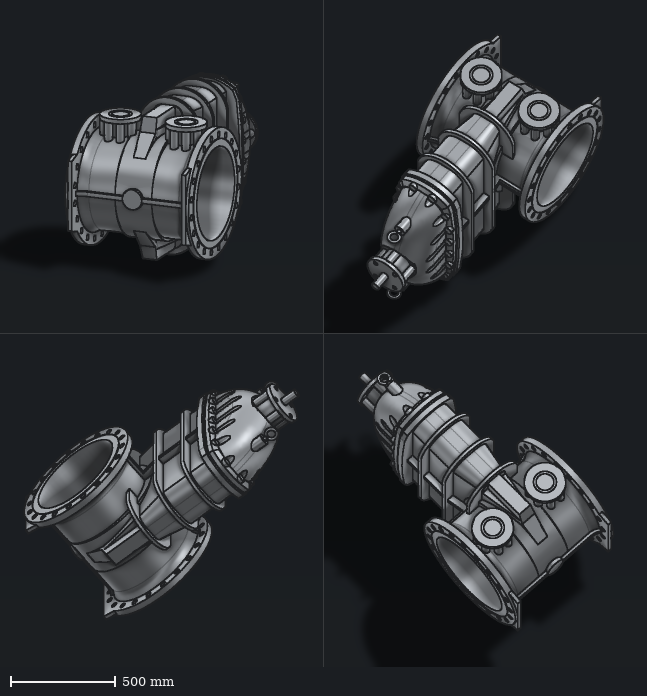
import cadquery as cq
import math


pipe_half_length = 325.3
bore_radius = 228.0
pipe_radius = 241.0
flare_start_x = 234.0
flare_radius = 258.0
flange_radius = 319.6
flange_thickness = 35.0
raised_face_radius = 265.8
raised_face_height = 3.5
bolt_hole_count = 20
bolt_hole_diameter = 28.0
bolt_circle_radius = 286.0

foot_thickness = 21.0
foot_bottom_y = -320.0
foot_bottom_half_z = 175.0
foot_top_y = -265.0
foot_top_half_z = 191.0

rib_half_thickness = 11.0
rib_height = 17.0
body_rib_half_x = 143.0
body_rib_foot_half_x = 125.0

belt_half_x = 95.7
belt_radius = 262.0
belt_pad_radius = 50.3

body_half_x = 108.0
body_side_half_z = 312.0
body_half_z = 356.0
body_flat_half_x = 28.0
body_end_y = 628.0
taper_start_y = 347.0
taper_mid_y = 175.0
taper_mid_half_x = 75.0
taper_end_y = -57.0
taper_end_half_x = 39.0
shoulder_half_z = 299.0

ring_half_z = 392.0
ring_corner_z = 260.0
ring_thickness = 18.0
ring_first_y = 187.0
ring_pitch = 168.0
ring_half_widths = (157.0, 160.0, 160.0)

spine_front_y = -43.0
spine_knee_y = -68.0
spine_knee_z = 284.0
spine_toe_y = -167.0
spine_toe_z = 183.0
spine_top_half_x = 37.0
spine_knee_half_x = 41.0
spine_toe_half_x = 31.0

joint_half_x = 179.0
joint_corner_half_x = 162.0
joint_half_z = 371.0
joint_corner_z = 275.0
joint_shoulder_half_x = 142.0
joint_shoulder_z = 322.0
joint_y = 659.0
gasket_thickness = 10.0
bonnet_base_y = 695.0
bonnet_bevel_end_y = 715.0
bonnet_bevel_width = 27.0
bonnet_inset = 9.0
gasket_inset = 11.0

dome_half_x = 140.0
dome_radius = 374.0
dome_center_y = 570.0
dome_edge_radius = 128.0

bolt_groove_diameter = 40.0
bolt_head_diameter = 44.0
bolt_head_height = 21.0
side_bolt_pitch = 102.8
side_bolt_x = 150.0
corner_bolt_x = 130.0
end_bolt_x = 55.0
end_bolt_z = 340.0

stem_diameter = 40.0
stem_end_y = 1097.0
gland_diameter = 210.0
gland_top_y = 1018.0
gland_thickness = 21.0
gland_column_diameter = 40.0
gland_column_circle_radius = 80.0
gland_column_count = 4
gland_hole_diameter = 23.0
neck_radius = 70.0
gland_seat_y = 906.0

eye_z = 245.0
eye_boss_diameter = 55.0
eye_boss_start_y = 794.0
eye_boss_end_y = 899.0
eye_center_y = 943.0
eye_ring_radius = 27.0
eye_wire_radius = 7.0
eye_shank_radius = 11.0

pad_x = 172.0
pad_diameter = 200.0
pad_top_z = 340.0
pad_thickness = 23.0
pad_column_count = 8
pad_column_diameter = 40.0
pad_column_circle_radius = 80.0
pad_neck_radius = 55.0
plug_outer_radius = 55.0
plug_inner_radius = 43.0
plug_groove_depth = 1.0


def y_cylinder(radius, y_start, y_end, x=0.0, z=0.0):
    """Cylinder along Y."""
    base = cq.Vector(x, y_start, z)
    return cq.Workplane(cq.Solid.makeCylinder(radius, y_end - y_start, base, cq.Vector(0, 1, 0)))


def z_cylinder(radius, z_start, z_end, x, y=0.0):
    """Cylinder along Z."""
    return cq.Workplane(cq.Solid.makeCylinder(radius, z_end - z_start, cq.Vector(x, y, z_start)))


def x_cylinder(radius, x_start, x_end, y=0.0, z=0.0):
    """Cylinder along X."""
    base = cq.Vector(x_start, y, z)
    return cq.Workplane(cq.Solid.makeCylinder(radius, x_end - x_start, base, cq.Vector(1, 0, 0)))


def xz_plane(y):
    """Sketch plane at y whose local axes are X and Z; extruding runs toward -Y."""
    return cq.Workplane("XZ", origin=(0, y, 0))


def on_both_ends(shape):
    """A shape together with its mirror image across the YZ plane."""
    return shape.union(shape.mirror("YZ"))


def on_top_and_bottom(shape):
    """A shape together with its mirror image across the XY plane."""
    return shape.union(shape.mirror("XY"))


def arched_plate(half_x, side_half_z, half_z, y_start, y_end):
    """Plate across Y with straight sides and an arc at each end."""
    return (
        xz_plane(y_end)
        .moveTo(half_x, -side_half_z)
        .lineTo(half_x, side_half_z)
        .threePointArc((0, half_z), (-half_x, side_half_z))
        .lineTo(-half_x, -side_half_z)
        .threePointArc((0, -half_z), (half_x, -side_half_z))
        .close()
        .extrude(y_end - y_start)
    )


def joint_plate(inset, y_start, y_end):
    """Plate of the bolted joint: bowed sides, cut corners, arched ends."""
    side, corner = joint_half_x - inset, joint_corner_half_x - inset
    shoulder, top = joint_shoulder_half_x - inset / 2, joint_half_z - inset / 4
    return (
        xz_plane(y_end)
        .moveTo(corner, -joint_corner_z)
        .threePointArc((side, 0), (corner, joint_corner_z))
        .lineTo(shoulder, joint_shoulder_z)
        .threePointArc((0, top), (-shoulder, joint_shoulder_z))
        .lineTo(-corner, joint_corner_z)
        .threePointArc((-side, 0), (-corner, -joint_corner_z))
        .lineTo(-shoulder, -joint_shoulder_z)
        .threePointArc((0, -top), (shoulder, -joint_shoulder_z))
        .close()
        .extrude(y_end - y_start)
    )


flange_outer_x = pipe_half_length - raised_face_height
flange_inner_x = flange_outer_x - flange_thickness


def flared_barrel(radius, end_radius):
    """Barrel along X that flares toward both end flanges."""
    return on_both_ends(
        cq.Workplane("XY")
        .lineTo(0, radius)
        .lineTo(flare_start_x, radius)
        .tangentArcPoint((flange_inner_x, end_radius), relative=False)
        .lineTo(flange_inner_x, 0)
        .close()
        .revolve(360, (0, 0, 0), (1, 0, 0))
    )


def end_flange():
    """Flange at +X with its raised face, foot and bolt holes."""
    flange = x_cylinder(flange_radius, flange_inner_x, flange_outer_x)
    foot = (
        cq.Workplane("YZ", origin=(flange_inner_x, 0, 0))
        .polyline([
            (0, foot_top_half_z),
            (foot_top_y, foot_top_half_z),
            (foot_bottom_y, foot_bottom_half_z),
            (foot_bottom_y, -foot_bottom_half_z),
            (foot_top_y, -foot_top_half_z),
            (0, -foot_top_half_z),
        ])
        .close()
        .extrude(foot_thickness)
    )
    holes = (
        cq.Workplane("YZ", origin=(flange_inner_x, 0, 0))
        .polarArray(bolt_circle_radius, 180 / bolt_hole_count, 360, bolt_hole_count)
        .circle(bolt_hole_diameter / 2)
        .extrude(flange_thickness)
    )
    raised_face = x_cylinder(raised_face_radius, flange_outer_x, pipe_half_length)
    return flange.union(foot).cut(holes).union(raised_face)


def pipe():
    """Barrel, belt, middle ribs and round pad; the bore is cut later."""
    rib_slab = cq.Workplane("XY").box(2 * flange_inner_x, 2 * flange_radius, 2 * rib_half_thickness)
    ribs = flared_barrel(pipe_radius + rib_height, flare_radius + rib_height).intersect(rib_slab)
    belt = x_cylinder(belt_radius, -belt_half_x, belt_half_x, y=belt_radius - pipe_radius)
    round_pad = y_cylinder(belt_pad_radius, -pipe_radius - rib_height, 0)
    return flared_barrel(pipe_radius, flare_radius).union(ribs).union(belt).union(round_pad)


def branch_pad():
    """Flanged pad at +X on top of the pipe, standing on a ring of columns."""
    plate_bottom_z = pad_top_z - pad_thickness
    pad = z_cylinder(pad_diameter / 2, plate_bottom_z, pad_top_z, pad_x)
    pad = pad.union(z_cylinder(pad_neck_radius, bore_radius, plate_bottom_z, pad_x))
    columns = (
        cq.Workplane("XY", origin=(pad_x, 0, 0))
        .polarArray(pad_column_circle_radius, 180 / pad_column_count, 360, pad_column_count)
        .circle(pad_column_diameter / 2)
        .extrude(plate_bottom_z)
    )
    groove_bottom_z = pad_top_z - plug_groove_depth
    groove = z_cylinder(plug_outer_radius, groove_bottom_z, pad_top_z, pad_x).cut(
        z_cylinder(plug_inner_radius, groove_bottom_z, pad_top_z, pad_x)
    )
    return pad.union(columns).cut(groove)


def body_section(half_x, y):
    """Closed section of the body at y: straight sides, rounded corners, flat ends."""
    arc_width = half_x - body_flat_half_x
    arc_height = body_half_z - body_side_half_z
    arc_radius = (arc_width**2 + arc_height**2) / (2 * arc_height)
    half_angle = math.asin(arc_width / arc_radius) / 2
    arc_x = body_flat_half_x + arc_radius * math.sin(half_angle)
    arc_z = body_half_z - arc_radius * (1 - math.cos(half_angle))
    return (
        xz_plane(y)
        .moveTo(half_x, -body_side_half_z)
        .lineTo(half_x, body_side_half_z)
        .threePointArc((arc_x, arc_z), (body_flat_half_x, body_half_z))
        .lineTo(-body_flat_half_x, body_half_z)
        .threePointArc((-arc_x, arc_z), (-half_x, body_side_half_z))
        .lineTo(-half_x, -body_side_half_z)
        .threePointArc((-arc_x, -arc_z), (-body_flat_half_x, -body_half_z))
        .lineTo(body_flat_half_x, -body_half_z)
        .threePointArc((arc_x, -arc_z), (half_x, -body_side_half_z))
        .close()
    )


def body_shell():
    """Straight upper body and the part that narrows toward the first ring."""
    straight = body_section(body_half_x, body_end_y).extrude(body_end_y - taper_start_y)
    wide_end = body_section(body_half_x, taper_start_y).val()
    narrow_end = body_section(taper_mid_half_x, taper_mid_y).val()
    taper = cq.Workplane(cq.Solid.makeLoft([wide_end, narrow_end], True))
    return straight.union(taper)


def body_shoulder():
    """Lower wedge that runs on over the pipe beside the spine bars."""
    return (
        cq.Workplane("XY", origin=(0, 0, -shoulder_half_z))
        .polyline([
            (taper_mid_half_x, taper_mid_y),
            (taper_end_half_x, taper_end_y),
            (-taper_end_half_x, taper_end_y),
            (-taper_mid_half_x, taper_mid_y),
        ])
        .close()
        .extrude(2 * shoulder_half_z)
    )


def body_rib():
    """Middle-plane rib along both sides of the body."""
    return (
        cq.Workplane("XY", origin=(0, 0, -rib_half_thickness))
        .polyline([
            (body_rib_half_x, body_end_y),
            (body_rib_half_x, taper_start_y),
            (body_rib_foot_half_x, pipe_radius),
            (-body_rib_foot_half_x, pipe_radius),
            (-body_rib_half_x, taper_start_y),
            (-body_rib_half_x, body_end_y),
        ])
        .close()
        .extrude(2 * rib_half_thickness)
    )


def stiffening_rings():
    """Evenly spaced plates around the body."""
    rings = cq.Workplane("XY")
    for index, half_x in enumerate(ring_half_widths):
        y_start = ring_first_y + index * ring_pitch - ring_thickness / 2
        ring = arched_plate(half_x, ring_corner_z, ring_half_z, y_start, y_start + ring_thickness)
        rings = rings.union(ring)
    return rings


def spine_bar():
    """Top bar from the first ring forward, sloping down onto the pipe at its toe."""
    side_profile = (
        cq.Workplane("YZ", origin=(-spine_knee_half_x, 0, 0))
        .polyline([
            (ring_first_y, body_half_z),
            (spine_front_y, body_half_z),
            (spine_knee_y, spine_knee_z),
            (spine_toe_y, spine_toe_z),
            (ring_first_y, spine_toe_z),
        ])
        .close()
        .extrude(2 * spine_knee_half_x)
    )
    front_profile = (
        xz_plane(ring_first_y)
        .polyline([
            (spine_top_half_x, body_half_z),
            (spine_knee_half_x, spine_knee_z),
            (spine_toe_half_x, spine_toe_z),
            (-spine_toe_half_x, spine_toe_z),
            (-spine_knee_half_x, spine_knee_z),
            (-spine_top_half_x, body_half_z),
        ])
        .close()
        .extrude(ring_first_y - spine_toe_y)
    )
    return side_profile.intersect(front_profile)


def bonnet_bolt_points():
    """(x, z) of the bolts around the joint."""
    quarter = [
        (side_bolt_x, side_bolt_pitch / 2),
        (side_bolt_x, side_bolt_pitch * 3 / 2),
        (corner_bolt_x, side_bolt_pitch * 5 / 2),
        (end_bolt_x, end_bolt_z),
    ]
    return [(sx * x, sz * z) for x, z in quarter for sx in (1, -1) for sz in (1, -1)]


def bolted_joint():
    """Body flange, thin gasket step and bevelled bonnet flange."""
    gasket_end_y = joint_y + gasket_thickness
    body_flange = joint_plate(0, body_end_y, joint_y)
    gasket = joint_plate(gasket_inset, joint_y, gasket_end_y)
    bonnet_flange = (
        joint_plate(bonnet_inset, gasket_end_y, bonnet_bevel_end_y)
        .faces(">Y")
        .chamfer(bonnet_bevel_end_y - bonnet_base_y, bonnet_bevel_width)
    )
    return body_flange.union(gasket).union(bonnet_flange)


def dome():
    """Disc segment with rounded rims, a seat for the gland and a groove above each bolt."""
    dome_top_y = dome_center_y + dome_radius
    disc = x_cylinder(dome_radius, -dome_half_x, dome_half_x, y=dome_center_y).edges("%CIRCLE")
    shape = disc.fillet(dome_edge_radius)
    below_base = y_cylinder(2 * dome_radius, dome_center_y - 2 * dome_radius, bonnet_base_y)
    shape = shape.cut(below_base)
    gland_seat = y_cylinder(gland_diameter / 2, gland_seat_y, dome_top_y)
    shape = shape.cut(gland_seat)
    for x, z in bonnet_bolt_points():
        shape = shape.cut(y_cylinder(bolt_groove_diameter / 2, bonnet_base_y, dome_top_y, x, z))
    return shape


def bonnet_bolts():
    """Bolt heads seated on the bonnet flange."""
    heads = cq.Workplane("XY")
    head_end_y = bonnet_base_y + bolt_head_height
    for x, z in bonnet_bolt_points():
        head = y_cylinder(bolt_head_diameter / 2, bonnet_base_y, head_end_y, x, z)
        heads = heads.union(head)
    return heads


def gland():
    """Stem, neck and round gland flange carried on four columns."""
    plate_y = gland_top_y - gland_thickness
    spacing = 360 / gland_column_count
    holes = (
        xz_plane(gland_top_y)
        .polarArray(gland_column_circle_radius, spacing / 2, 360, gland_column_count)
        .circle(gland_hole_diameter / 2)
        .extrude(gland_thickness)
    )
    columns = (
        xz_plane(plate_y)
        .polarArray(gland_column_circle_radius, 0, 360, gland_column_count)
        .circle(gland_column_diameter / 2)
        .extrude(plate_y - gland_seat_y)
    )
    shape = y_cylinder(gland_diameter / 2, plate_y, gland_top_y).cut(holes).union(columns)
    shape = shape.union(y_cylinder(neck_radius, gland_seat_y, plate_y))
    return shape.union(y_cylinder(stem_diameter / 2, plate_y, stem_end_y))


def lifting_eye():
    """Boss on the upper half of the dome with an eye bolt."""
    boss = y_cylinder(eye_boss_diameter / 2, eye_boss_start_y, eye_boss_end_y, z=eye_z)
    shank = y_cylinder(eye_shank_radius, eye_boss_end_y, eye_center_y - eye_ring_radius, z=eye_z)
    ring_center = cq.Vector(0, eye_center_y, eye_z)
    ring = cq.Workplane(
        cq.Solid.makeTorus(eye_ring_radius, eye_wire_radius, ring_center, cq.Vector(0, 0, 1))
    )
    return boss.union(shank).union(ring)


bore = x_cylinder(bore_radius, -pipe_half_length, pipe_half_length)

result = (
    pipe()
    .union(on_both_ends(end_flange()))
    .union(on_both_ends(branch_pad()))
    .union(body_shell())
    .union(body_shoulder())
    .union(body_rib())
    .union(stiffening_rings())
    .union(on_top_and_bottom(spine_bar()))
    .union(bolted_joint())
    .union(dome())
    .union(bonnet_bolts())
    .union(gland())
    .union(on_top_and_bottom(lifting_eye()))
    .cut(bore)
)